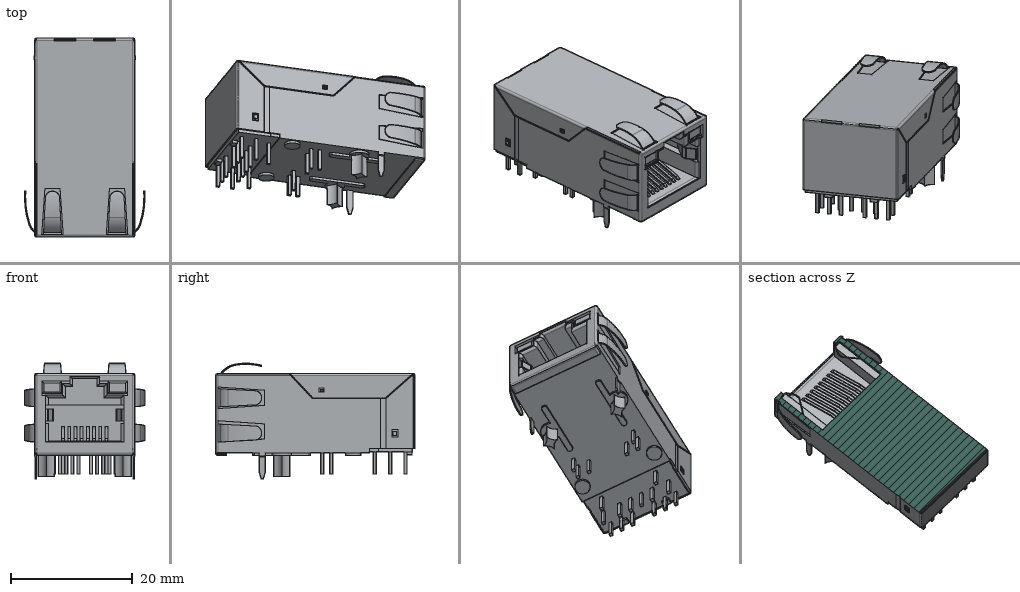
import cadquery as cq
import math


HALF_WIDTH = 8.25
LENGTH = 32.8
HEIGHT = 13.12
OVERALL_HEIGHT = 19.05
SHEET = 0.245
BEND_RADIUS = 0.4
REAR_SKIRT_Z = 0.72

OPENING_BEVEL = 0.45
MOUTH_HALF = 6.43
NECK_HALF = 3.65
LATCH_HALF = 2.45
NECK_BOTTOM = 9.55
NECK_TOP = 11.4
CAVITY_HALF = MOUTH_HALF - OPENING_BEVEL
CAVITY_FLOOR = 1.95
LOWER_WALL_Y = 9.85
UPPER_WALL_Y = 9.2
SLOT_BOTTOM = 4.85
SLOT_TOP = 7.87
SLOT_HALF = 7.18

FINGER_RISE = 1.67
TOP_FINGER_X = 5.3
SIDE_FINGER_Z = (9.1, 3.28)
SIDE_WINDOW_Z = (9.1, 3.55)
WINDOW_FRONT = 0.43

FOOT_BOTTOM = -0.43
PIN_BOTTOM = -3.48
PIN_SIZE = 0.52
PEG_BOTTOM = -3.9
PEG_X = 6.33
PEG_Y = 10.9
TAB_BOTTOM = FINGER_RISE + HEIGHT - OVERALL_HEIGHT


def block(x0, x1, y0, y1, z0, z1):
    """Box between two opposite corners."""
    return cq.Workplane("XY").box(x1 - x0, y1 - y0, z1 - z0, centered=False).translate((x0, y0, z0))


def both_sides(solid):
    """The solid together with its mirror image across the middle plane."""
    return solid.union(solid.mirror("YZ"))


def side_prism(points, x0, x1):
    """Prism along X from a closed outline of (y, z) points."""
    return cq.Workplane("YZ").polyline(points).close().extrude(x1 - x0).translate((x0, 0, 0))


def shield_block():
    """Outer block with bent edges and the raised rear end of the skirt."""
    shape = block(-HALF_WIDTH, HALF_WIDTH, 0, LENGTH, 0, HEIGHT)
    shape = shape.edges("|Z or >Z").fillet(BEND_RADIUS)
    step_y = 25.32
    inner_bottom = 0.2
    waist_y = 26.8
    lower = block(-HALF_WIDTH - 0.33, HALF_WIDTH + 0.33, step_y, LENGTH + 0.33, -0.33, REAR_SKIRT_Z)
    core = block(-HALF_WIDTH + SHEET, HALF_WIDTH - SHEET, step_y, waist_y, inner_bottom, REAR_SKIRT_Z)
    tail_half = 7.9
    core = core.union(block(-tail_half, tail_half, waist_y, LENGTH - BEND_RADIUS, inner_bottom, REAR_SKIRT_Z))
    return shape.cut(lower.cut(core))



def stepped_outline(half_widths, heights):
    """Symmetric jack outline, widest at the bottom, narrowing in two steps towards the latch."""
    right = []
    for half_width, low, high in zip(half_widths, heights, heights[1:]):
        right += [(half_width, low), (half_width, high)]
    return right + [(-x, z) for x, z in reversed(right)]


MOUTH_OUTER = stepped_outline((MOUTH_HALF, NECK_HALF, LATCH_HALF), (1.8, NECK_BOTTOM, NECK_TOP, 12.55))
MOUTH_INNER = stepped_outline(
    (CAVITY_HALF, NECK_HALF - OPENING_BEVEL, LATCH_HALF - OPENING_BEVEL),
    (CAVITY_FLOOR, NECK_BOTTOM - OPENING_BEVEL, NECK_TOP - OPENING_BEVEL, 12.25),
)


def front_prism(points, y0, y1):
    """Prism along Y from a closed outline of (x, z) points."""
    return cq.Workplane("XZ", origin=(0, y0, 0)).polyline(points).close().extrude(y0 - y1)


def rounded_mouth(outer, inner, y0, depth):
    """Funnel along Y whose walls curve from one outline to run straight at the other."""
    steps = 4
    funnel = cq.Workplane("XZ", origin=(0, y0, 0))
    reached = 0.0
    for i in range(steps + 1):
        y = depth * i / steps
        share = 1 - (1 - i / steps) ** 2
        section = [(a + (c - a) * share, b + (d - b) * share) for (a, b), (c, d) in zip(outer, inner)]
        funnel = funnel.workplane(offset=reached - y).polyline(section).close()
        reached = y
    return funnel.loft()


def plug_opening():
    cavity = front_prism(MOUTH_OUTER, -0.33, SHEET)
    cavity = cavity.union(rounded_mouth(MOUTH_OUTER, MOUTH_INNER, SHEET, OPENING_BEVEL))
    cavity = cavity.union(front_prism(MOUTH_INNER, SHEET + OPENING_BEVEL, UPPER_WALL_Y))
    cavity = cavity.union(block(-CAVITY_HALF, CAVITY_HALF, SHEET + OPENING_BEVEL, LOWER_WALL_Y,
                                CAVITY_FLOOR, SLOT_TOP))
    wide_slot_y = 0.65
    slot = block(0, MOUTH_HALF, SHEET, LOWER_WALL_Y, SLOT_BOTTOM, SLOT_TOP)
    slot = slot.union(block(0, SLOT_HALF, wide_slot_y, LOWER_WALL_Y, SLOT_BOTTOM, SLOT_TOP))
    return cavity.union(both_sides(slot))


LED_LEFT, LED_RIGHT = 3.85, 7.05
LED_LOW, LED_HIGH = 9.8, 11.85
LED_POCKET_DEPTH = 0.65


def led_windows():
    """Shallow shield window on each side of the latch, with a deeper pocket for the LED."""
    window_low = 9.45
    window = block(LATCH_HALF, LED_LEFT, -0.33, SHEET, NECK_TOP, LED_HIGH)
    window = window.union(block(NECK_HALF, LED_RIGHT, -0.33, SHEET, window_low, LED_HIGH))
    pocket = block(LED_LEFT, LED_RIGHT, -0.33, LED_POCKET_DEPTH, LED_LOW, LED_HIGH)
    return both_sides(window.union(pocket))


def led_lenses():
    """Truncated pyramids filling the LED pockets, standing back from the front."""
    face_y = 0.25
    face = [(4.1, 10.07), (6.72, 10.07), (6.72, 11.5), (4.1, 11.5)]
    base = [(LED_LEFT, LED_LOW), (LED_RIGHT, LED_LOW), (LED_RIGHT, LED_HIGH), (LED_LEFT, LED_HIGH)]
    lens = (
        cq.Workplane("XZ", origin=(0, face_y, 0)).polyline(face).close()
        .workplane(offset=face_y - LED_POCKET_DEPTH).polyline(base).close().loft(ruled=True)
    )
    return both_sides(lens)


def plug_contacts():
    count = 8
    pitch = 1.025
    width = 0.45
    embed = 0.15
    thickness = 0.23
    heel_z, crest_z = 2.35, 4.33
    back_y = LOWER_WALL_Y + embed
    profile = [(2.13, CAVITY_FLOOR - embed), (2.13, CAVITY_FLOOR), (2.62, heel_z), (8.53, crest_z),
               (back_y, crest_z), (back_y, crest_z - thickness), (8.6, crest_z - thickness),
               (2.72, heel_z - thickness), (2.43, CAVITY_FLOOR - embed)]
    contacts = cq.Workplane("XY")
    for i in range(count):
        x = (i - (count - 1) / 2) * pitch
        contacts = contacts.union(side_prism(profile, x - width / 2, x + width / 2))
    return contacts


def plug_springs():
    """Bowed earth springs in the side slots."""
    thickness = 0.2
    path = [(6.5, 0.5), (CAVITY_HALF, 0.65), (5.15, 2.13), (5.15, 2.95), (6.43, 4.7), (SLOT_HALF + 0.1, 5.85)]
    outline = path + [(x + thickness, y) for x, y in reversed(path)]
    bottom_z, spring_height = 5.25, 2.05
    spring = cq.Workplane("XY", origin=(0, 0, bottom_z)).polyline(outline).close().extrude(spring_height)
    return both_sides(spring)



def contact_finger(crest_y, bow_radius, join_y):
    """Bowed finger on a shield face at Z = 0, rooted at the front and pointing to +Y."""
    thickness = 0.2
    tip_y = 7.6
    root_y, root_z = 0.62, -0.33

    bow_y, bow_z = crest_y, FINGER_RISE - bow_radius
    join_angle = math.acos((join_y - bow_y) / bow_radius)
    tip_angle = math.acos((tip_y - bow_y) / bow_radius)
    toward = (-math.cos(join_angle), -math.sin(join_angle))
    join_z = bow_z + bow_radius * math.sin(join_angle)
    gap = (join_y - root_y, join_z - root_z)
    root_radius = -(gap[0] ** 2 + gap[1] ** 2) / (2 * (gap[0] * toward[0] + gap[1] * toward[1]))
    bend_y = join_y + root_radius * toward[0]
    bend_z = join_z + root_radius * toward[1]
    root_angle = math.atan2(root_z - bend_z, root_y - bend_y) % (2 * math.pi)

    def on_bow(angle, inset):
        radius = bow_radius - inset
        return bow_y + radius * math.cos(angle), bow_z + radius * math.sin(angle)

    def on_bend(angle, inset):
        radius = root_radius - inset
        return bend_y + radius * math.cos(angle), bend_z + radius * math.sin(angle)

    mid_bow = (tip_angle + join_angle) / 2
    mid_bend = (join_angle + root_angle) / 2
    width = 3.28
    strip = (
        cq.Workplane("YZ", origin=(-width / 2, 0, 0)).moveTo(*on_bow(tip_angle, 0))
        .threePointArc(on_bow(mid_bow, 0), on_bow(join_angle, 0))
        .threePointArc(on_bend(mid_bend, 0), on_bend(root_angle, 0))
        .lineTo(*on_bend(root_angle, thickness))
        .threePointArc(on_bend(mid_bend, thickness), on_bow(join_angle, thickness))
        .threePointArc(on_bow(mid_bow, thickness), on_bow(tip_angle, thickness))
        .close().extrude(width)
    )
    root_half, tip_half, shoulder_y, end_y = 1.5, 1.15, 6.72, 7.58
    plan = (
        cq.Workplane("XY", origin=(0, 0, -1.65)).moveTo(-root_half, 0).lineTo(root_half, 0)
        .lineTo(tip_half, shoulder_y).threePointArc((0, end_y), (-tip_half, shoulder_y))
        .close().extrude(4.92)
    )
    flange = block(-root_half, root_half, WINDOW_FRONT, root_y + 0.13, -SHEET, -0.03)
    return strip.intersect(plan).union(flange)


def finger_window():
    """Tapered window through the sheet around a finger, for a shield face at Z = 0."""
    points = [(-1.77, WINDOW_FRONT), (1.77, WINDOW_FRONT), (1.25, 8.05), (-1.25, 8.05)]
    return cq.Workplane("XY", origin=(0, 0, -SHEET)).polyline(points).close().extrude(SHEET + 0.33)


def on_left_face(feature, z):
    """Moves a feature made for a face at Z = 0 to the -X side of the shield."""
    return feature.rotate((0, 0, 0), (0, 1, 0), -90).translate((-HALF_WIDTH, 0, z))


def on_shield(top_feature, side_feature, side_heights):
    """One feature on both halves of the roof and another at two heights on both sides."""
    placed = top_feature.translate((-TOP_FINGER_X, 0, HEIGHT))
    for z in side_heights:
        placed = placed.union(on_left_face(side_feature, z))
    return both_sides(placed)


def contact_fingers():
    top_finger = contact_finger(crest_y=5.0, bow_radius=9.5, join_y=3.25)
    side_finger = contact_finger(crest_y=6.5, bow_radius=13.78, join_y=2.05)
    return on_shield(top_finger, side_finger, SIDE_FINGER_Z)


def finger_windows():
    return on_shield(finger_window(), finger_window(), SIDE_WINDOW_Z)


FLAP_FRONT_Y = 12.15


def side_seams():
    """Gap around the roof flap folded over each side, and the gap in front of the rear panel."""
    gap = 0.13
    seam_depth = 0.13
    flap_bottom = 8.95
    flap_rear_y = 28.0
    joint_front_y = 27.13
    above_roof = HEIGHT + 0.4
    path = [(33.2, above_roof), (flap_rear_y, flap_bottom), (15.95, flap_bottom), (11.65, above_roof)]
    band = side_prism(path, -HALF_WIDTH - 0.33, -HALF_WIDTH + seam_depth)
    seam = band.cut(
        cq.Workplane("YZ", origin=(-HALF_WIDTH - 0.65, 0, 0)).polyline(path).close()
        .offset2D(-gap).extrude(1)
    )
    outside_x = -HALF_WIDTH - 0.33
    joint_plan = [(outside_x, joint_front_y), (-HALF_WIDTH + 0.03, joint_front_y),
                  (-HALF_WIDTH + seam_depth, flap_rear_y), (outside_x, flap_rear_y)]
    joint = cq.Workplane("XY", origin=(0, 0, -0.33)).polyline(joint_plan).close().extrude(flap_bottom + 0.33)
    return both_sides(seam.union(joint))


def roof_edge_steps():
    """Open corner between the roof and the side panels, in front of the roof flap."""
    roof_half = HALF_WIDTH - BEND_RADIUS
    front = 0.33
    step = block(roof_half, HALF_WIDTH + 0.33, front, FLAP_FRONT_Y, HEIGHT - SHEET, HEIGHT + 0.33)
    groove = block(roof_half, HALF_WIDTH - SHEET, front, FLAP_FRONT_Y, HEIGHT - 2 * SHEET, HEIGHT)
    return both_sides(step.union(groove))


def rear_gap():
    """Gap between the housing and the rear panel, with two slots through the bend above it."""
    panel_y = LENGTH - SHEET
    housing_y = 32.37
    slot_x0, slot_x1 = 1.5, 5.0
    panel_top = HEIGHT - 0.3
    gap = block(-HALF_WIDTH + SHEET, HALF_WIDTH - SHEET, housing_y, panel_y, -0.65, HEIGHT - SHEET)
    slot = block(slot_x0, slot_x1, housing_y, panel_y, HEIGHT - 0.65, HEIGHT + 0.33)
    slot = slot.union(block(slot_x0, slot_x1, housing_y, LENGTH + 0.33, panel_top, HEIGHT + 0.33))
    return gap.union(both_sides(slot))


REAR_LATCH = (29.52, 3.25)
ROOF_LATCH = (17.45, 10.33)


def side_patch(centre, length, height, x0, x1):
    """Box on the -X side, centred on a (y, z) place."""
    y, z = centre
    return block(x0, x1, y - length / 2, y + length / 2, z - height / 2, z + height / 2)


def latch_windows():
    depth = 0.15
    reach = (-HALF_WIDTH - 0.33, -HALF_WIDTH + depth)
    rear = side_patch(REAR_LATCH, 1.0, 1.28, *reach)
    roof = side_patch(ROOF_LATCH, 0.8, 0.65, *reach)
    return both_sides(rear.union(roof))


def latch_tongues():
    """Tongues in the latch windows: the rear one stands proud, the roof one is flush."""
    proud = 0.1
    root = -HALF_WIDTH + SHEET
    rear = side_patch(REAR_LATCH, 0.6, 0.65, -HALF_WIDTH - proud, root)
    roof = side_patch(ROOF_LATCH, 0.4, 0.25, -HALF_WIDTH, root)
    return both_sides(rear.union(roof))


def front_lip():
    """Front panel bent under the housing."""
    half = 8.07
    depth = 1.77
    lip = block(-half, half, 0, depth, FOOT_BOTTOM, 0.65)
    lip = lip.edges("<Y and |Z").fillet(BEND_RADIUS / 2)
    lip = lip.faces("<Z").edges("<Y").fillet(BEND_RADIUS)
    lip_top = FOOT_BOTTOM + 0.23
    return lip.cut(block(-half, half, SHEET, depth, lip_top, 0.65))



def column(x, y, diameter, bottom):
    return cq.Workplane("XY", origin=(x, y, bottom)).circle(diameter / 2).extrude(0.33 - bottom)


def mounting_peg():
    """Four-cornered peg with hollow sides."""
    radius = 1.33
    hollow = 0.36
    corners = [(PEG_X + radius, PEG_Y), (PEG_X, PEG_Y + radius),
               (PEG_X - radius, PEG_Y), (PEG_X, PEG_Y - radius)]
    outline = cq.Workplane("XY", origin=(0, 0, PEG_BOTTOM)).moveTo(*corners[-1])
    for i, corner in enumerate(corners):
        start = corners[i - 1]
        middle_x = PEG_X + hollow * (start[0] + corner[0] - 2 * PEG_X)
        middle_y = PEG_Y + hollow * (start[1] + corner[1] - 2 * PEG_Y)
        outline = outline.threePointArc((middle_x, middle_y), corner)
    return outline.close().extrude(0.33 - PEG_BOTTOM)


def feet():
    foot = column(PEG_X, PEG_Y, 3.25, FOOT_BOTTOM).union(column(6.72, 22.63, 2.55, FOOT_BOTTOM))
    rail = block(4.6, 5.58, 6.1, 15.65, FOOT_BOTTOM, 0.33).edges("|Z").chamfer(0.25)
    rear_stop = block(3.28, 4.6, 31.5, 32.35, -0.33, 0.33)
    return both_sides(foot.union(rail).union(rear_stop).union(mounting_peg()))


def solder_pins():
    rows = [
        (31.25, (2.05, 4.07, 6.1)),
        (28.73, (1.02, 3.05, 6.1)),
        (26.2, (5.1,)),
        (19.02, (3.55, 5.6)),
        (17.55, (5.6,)),
    ]
    half = PIN_SIZE / 2
    pins = cq.Workplane("XY")
    for y, offsets in rows:
        for x in offsets:
            pins = pins.union(block(x - half, x + half, y - half, y + half, PIN_BOTTOM, 0.33))
    return both_sides(pins)


def shield_tabs():
    """Flat board tabs with a tapered end on both side panels."""
    middle_y = 7.68
    half, tip_half = 0.52, 0.2
    taper_z = -3.1
    outline = [(middle_y - half, 0.33), (middle_y - half, taper_z), (middle_y - tip_half, TAB_BOTTOM),
               (middle_y + tip_half, TAB_BOTTOM), (middle_y + half, taper_z), (middle_y + half, 0.33)]
    tab = side_prism(outline, 6.55, HALF_WIDTH)
    joggle = 0.082
    shoulder_z = -0.45
    outer_x = HALF_WIDTH - joggle
    inner_x = outer_x - SHEET
    bent_sheet = [(HALF_WIDTH, 0.33), (HALF_WIDTH, shoulder_z), (outer_x, shoulder_z - 0.15),
                  (outer_x, TAB_BOTTOM), (inner_x, TAB_BOTTOM), (inner_x, 0.33)]
    return both_sides(tab.intersect(front_prism(bent_sheet, 6.55, 9.85)))


result = shield_block()
for cutter in (plug_opening(), led_windows(), finger_windows(), side_seams(),
               roof_edge_steps(), rear_gap(), latch_windows()):
    result = result.cut(cutter)
for addition in (led_lenses(), plug_contacts(), plug_springs(), contact_fingers(),
                 latch_tongues(), front_lip(), feet(), solder_pins(), shield_tabs()):
    result = result.union(addition)